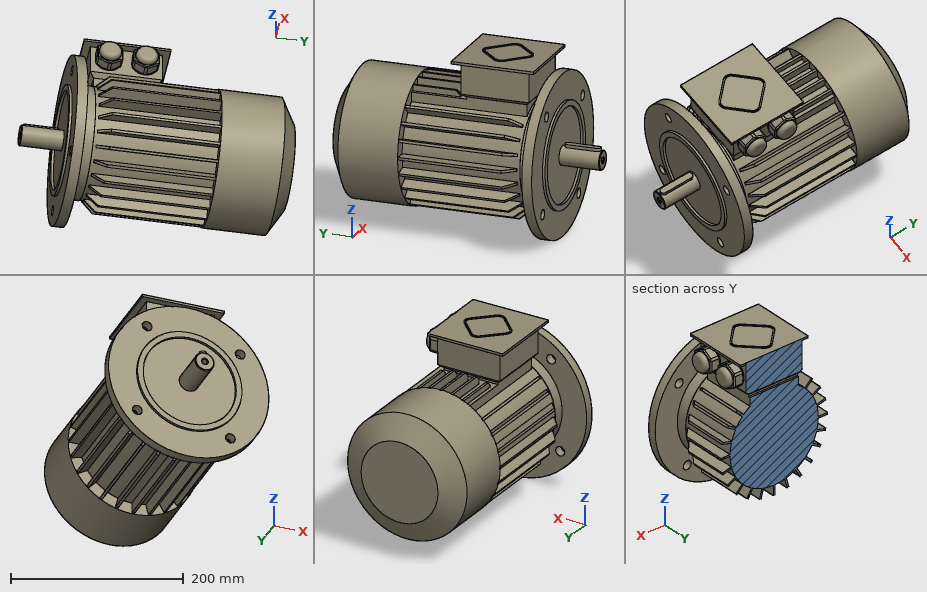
import cadquery as cq
import math


total_length = 315.0

shaft_diameter = 24.0
shaft_reach = 50.0
shaft_chamfer = 1.0
key_width = 8.2
key_height = 15.0
key_length = 44.7
center_hole_diameter = 6.5
center_sink_diameter = 8.5
center_sink_angle = 90
center_hole_depth = 12.5
drill_point_angle = 118

flange_diameter = 200.0
flange_thickness = 12.3
spigot_diameter = 130.0
spigot_height = 3.0
spigot_recess_diameter = 116.0
bolt_hole_diameter = 12.0
bolt_circle_diameter = 165.0
bolt_count = 4
first_bolt_angle = 39

collar_diameter = 134.0
collar_end = 27.5
body_diameter = 133.0
cover_diameter = 162.0
cover_front = 173.5
cover_shoulder = 247.5
cover_rear = total_length - shaft_reach
cover_rear_diameter = 104.0

fin_tip_radius = 80.0
fin_thickness = 3.0
fin_front = 31.2
fin_shoulder = 45.7
fin_front_radius = 67.5
fin_pitch_angle = 15
radial_fin_count = 19
top_fin_pitch = 15.0
top_fin_count = 5
top_fin_front = 114.7
top_fin_chamfer = 5.5

pad_width = 73.0
pad_top = 67.5
box_center_y = 67.7
neck_length = 75.0
neck_top = 70.2
box_size = 84.7
box_bottom = 75.0
lid_size = 102.0
lid_bottom = 113.7
lid_top = 117.0

frame_side = 49.0
frame_corner_radius = 9.5
frame_width = 2.0
frame_height = 1.1

gland_z = 94.8
gland_spacing = 42.8
gland_collar_length = 2.0
nut_corner_diameter = 33.0
nut_flats = 30.2
nut_length = 13.2
nut_taper_length = 2.0
nut_taper = 1.0
cap_diameter = 26.0
cap_length = 7.0
cap_fillet = 5.0


def cylinder_y(diameter, y_start, y_end):
    """Cylinder on the shaft axis between two Y positions."""
    plane = cq.Workplane("XZ", origin=(0, y_start, 0))
    return plane.circle(diameter / 2).extrude(y_start - y_end)


def block(size_x, y_range, z_range):
    """Box centred on X = 0 between the given Y and Z limits."""
    size_y = y_range[1] - y_range[0]
    size_z = z_range[1] - z_range[0]
    solid = cq.Workplane("XY").box(size_x, size_y, size_z, centered=(True, False, False))
    return solid.translate((0, y_range[0], z_range[0]))


def make_housing():
    """Collar, cylindrical body and fan cover with its conical rear."""
    profile = [
        (0, 0),
        (collar_diameter / 2, 0),
        (collar_diameter / 2, collar_end),
        (body_diameter / 2, collar_end),
        (body_diameter / 2, cover_front),
        (cover_diameter / 2, cover_front),
        (cover_diameter / 2, cover_shoulder),
        (cover_rear_diameter / 2, cover_rear),
        (0, cover_rear),
    ]
    return cq.Workplane("XY").polyline(profile).close().revolve(360, (0, 0), (0, 1))


def make_flange():
    """Flange disc with a hollow spigot rim and bolt holes through the disc."""
    disc = cylinder_y(flange_diameter, 0, flange_thickness)
    rim = cylinder_y(spigot_diameter, -spigot_height, 0)
    rim = rim.cut(cylinder_y(spigot_recess_diameter, -spigot_height, 0))
    bolt_holes = (
        cq.Workplane("XZ")
        .polarArray(bolt_circle_diameter / 2, first_bolt_angle, 360, bolt_count)
        .circle(bolt_hole_diameter / 2)
        .extrude(-flange_thickness)
    )
    return disc.union(rim).cut(bolt_holes)


def make_shaft():
    """Chamfered shaft with a round-ended key and a drilled centre hole."""
    shaft = cylinder_y(shaft_diameter, -shaft_reach, 0).faces("<Y").chamfer(shaft_chamfer)
    key = (
        cq.Workplane("XY")
        .center(0, -spigot_height - key_length / 2)
        .slot2D(key_length, key_width, 90)
        .extrude(key_height)
    )
    hole_radius = center_hole_diameter / 2
    sink_radius = center_sink_diameter / 2
    sink_depth = (sink_radius - hole_radius) / math.tan(math.radians(center_sink_angle / 2))
    point_depth = hole_radius / math.tan(math.radians(drill_point_angle / 2))
    hole_profile = [
        (0, -shaft_reach),
        (sink_radius, -shaft_reach),
        (hole_radius, -shaft_reach + sink_depth),
        (hole_radius, -shaft_reach + center_hole_depth),
        (0, -shaft_reach + center_hole_depth + point_depth),
    ]
    hole = cq.Workplane("XY").polyline(hole_profile).close().revolve(360, (0, 0), (0, 1))
    return shaft.union(key).cut(hole)


def make_radial_fins():
    """Fins around the sides and bottom, from 45 degrees above +X round to 45 above -X."""
    root_radius = body_diameter / 2 - fin_thickness
    profile = [
        (root_radius, fin_front),
        (fin_front_radius, fin_front),
        (fin_tip_radius, fin_shoulder),
        (fin_tip_radius, cover_front),
        (root_radius, cover_front),
    ]
    fin = cq.Workplane("XY").polyline(profile).close().extrude(fin_thickness / 2, both=True)
    fan_angle = fin_pitch_angle * (radial_fin_count - 1)
    first_angle = (fan_angle - 180) / 2
    fins = cq.Workplane("XY")
    for index in range(radial_fin_count):
        angle = index * fin_pitch_angle - first_angle
        fins = fins.add(fin.rotate((0, 0, 0), (0, 1, 0), angle))
    return fins.combine()


def make_top_fins():
    """Upright flat-topped fins on the pad, stepping down with the round outline of the fins."""
    fins = cq.Workplane("XY")
    for index in range(top_fin_count):
        x = (index - (top_fin_count - 1) / 2) * top_fin_pitch
        inner_edge = max(abs(x) - fin_thickness / 2, 0)
        fin_top = math.sqrt(fin_tip_radius**2 - inner_edge**2)
        profile = [
            (top_fin_front, 0),
            (top_fin_front, fin_top - top_fin_chamfer),
            (top_fin_front + top_fin_chamfer, fin_top),
            (cover_front, fin_top),
            (cover_front, 0),
        ]
        plane = cq.Workplane("YZ", origin=(x, 0, 0))
        fins = fins.add(plane.polyline(profile).close().extrude(fin_thickness / 2, both=True))
    return fins.combine()


def make_terminal_box():
    """Pad on the body, neck flaring out to the box, lid and raised diamond frame."""
    neck_front = box_center_y - neck_length / 2
    neck_rear = box_center_y + neck_length / 2
    pad = block(pad_width, (neck_front, cover_front), (0, pad_top))
    neck = block(pad_width, (neck_front, neck_rear), (0, neck_top))
    flare = (
        cq.Workplane("XY", origin=(0, box_center_y, neck_top))
        .rect(pad_width, neck_length)
        .workplane(offset=box_bottom - neck_top)
        .rect(box_size, box_size)
        .loft(ruled=True)
    )
    box_plane = cq.Workplane("XY", origin=(0, box_center_y, box_bottom))
    box = box_plane.rect(box_size, box_size).extrude(lid_bottom - box_bottom)
    lid_plane = cq.Workplane("XY", origin=(0, box_center_y, lid_bottom))
    lid = lid_plane.rect(lid_size, lid_size).extrude(lid_top - lid_bottom)
    return pad.union(neck).union(flare).union(box).union(lid).union(make_lid_frame())


def rounded_square(side, corner_radius):
    """Square plate with rounded corners, as thick as the lid frame is high."""
    square = cq.Workplane("XY").rect(side, side).extrude(frame_height)
    return square.edges("|Z").fillet(corner_radius)


def make_lid_frame():
    """Square ring with rounded corners, turned 45 degrees on the lid."""
    outer = rounded_square(frame_side, frame_corner_radius)
    inner = rounded_square(frame_side - 2 * frame_width, frame_corner_radius - frame_width)
    ring = outer.cut(inner).rotate((0, 0, 0), (0, 0, 1), 45)
    return ring.translate((0, box_center_y, lid_top))


def make_gland():
    """Cable gland along +X from the origin: round collar, hexagon nut and domed cap."""
    nut_end = gland_collar_length + nut_length
    corner_limit = cq.Workplane("YZ").circle(nut_corner_diameter / 2).extrude(nut_end)
    hexagon_diameter = nut_flats / math.cos(math.pi / 6)
    nut = (
        cq.Workplane("YZ")
        .polygon(6, hexagon_diameter)
        .extrude(nut_length)
        .faces(">X")
        .chamfer(nut_taper_length, nut_taper)
        .rotate((0, 0, 0), (1, 0, 0), 90)
        .translate((gland_collar_length, 0, 0))
        .intersect(corner_limit)
    )
    collar = cq.Workplane("YZ").circle(nut_flats / 2).extrude(gland_collar_length)
    cap = cq.Workplane("YZ", origin=(nut_end, 0, 0)).circle(cap_diameter / 2).extrude(cap_length)
    cap = cap.faces(">X").edges().fillet(cap_fillet)
    return collar.union(nut).union(cap)


result = (
    make_housing()
    .union(make_flange())
    .union(make_shaft())
    .union(make_radial_fins())
    .union(make_terminal_box())
    .union(make_top_fins())
)
for side in (-1, 1):
    gland_y = box_center_y + side * gland_spacing / 2
    result = result.union(make_gland().translate((box_size / 2, gland_y, gland_z)))